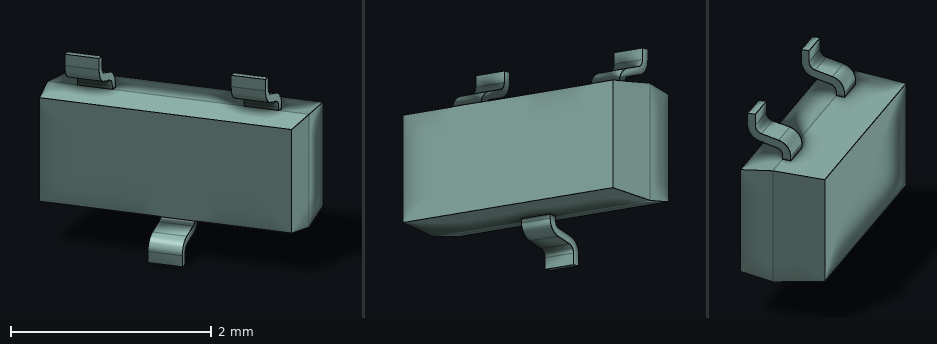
import cadquery as cq
import math


HOUSING_LENGTH = 2.8
HOUSING_WIDTH = 1.2
OVERALL_HEIGHT = 0.9
STANDOFF = 0.012
PARTING_Y = 0.37
TAPER_INSET = 0.05

LEAD_SPAN = 2.1
LEAD_WIDTH = 0.37
LEAD_THICKNESS = 0.085
LEAD_PITCH = 1.78
FOOT_LENGTH = 0.12
INNER_BEND_RADIUS = 0.085
BEND_ANGLE = math.radians(75)
ROOT_OVERRUN = 0.02


def housing_half(end_y):
    """Frustum from the parting plane to the smaller flat face at end_y."""
    return (
        cq.Workplane("XZ", origin=(0, PARTING_Y, 0))
        .rect(HOUSING_LENGTH, HOUSING_WIDTH)
        .workplane(offset=PARTING_Y - end_y)
        .rect(HOUSING_LENGTH - 2 * TAPER_INSET, HOUSING_WIDTH - 2 * TAPER_INSET)
        .loft(ruled=True)
    )


def make_housing():
    return housing_half(STANDOFF).union(housing_half(OVERALL_HEIGHT))


def make_lead(center_x, housing):
    """Lead leaving the +Z side of the housing, its root trimmed to the sloping side."""
    outer_radius = INNER_BEND_RADIUS + LEAD_THICKNESS
    tip_z = LEAD_SPAN / 2
    root_z = HOUSING_WIDTH / 2 - ROOT_OVERRUN

    foot_bend_y = LEAD_THICKNESS + INNER_BEND_RADIUS
    foot_bend_z = tip_z - FOOT_LENGTH
    shoulder_bend_y = PARTING_Y - INNER_BEND_RADIUS

    bend_rise = (INNER_BEND_RADIUS + outer_radius) * (1 - math.cos(BEND_ANGLE))
    web_rise = PARTING_Y - bend_rise
    web_run = web_rise / math.tan(BEND_ANGLE)
    bend_run = (INNER_BEND_RADIUS + outer_radius) * math.sin(BEND_ANGLE)
    shoulder_bend_z = foot_bend_z - bend_run - web_run

    def foot_bend_point(radius, angle):
        return (foot_bend_y - radius * math.cos(angle), foot_bend_z - radius * math.sin(angle))

    def shoulder_bend_point(radius, angle):
        return (shoulder_bend_y + radius * math.cos(angle), shoulder_bend_z + radius * math.sin(angle))

    half_angle = BEND_ANGLE / 2
    profile = (
        cq.Workplane("YZ", origin=(center_x, 0, 0))
        .moveTo(0, tip_z)
        .lineTo(*foot_bend_point(outer_radius, 0))
        .threePointArc(foot_bend_point(outer_radius, half_angle), foot_bend_point(outer_radius, BEND_ANGLE))
        .lineTo(*shoulder_bend_point(INNER_BEND_RADIUS, BEND_ANGLE))
        .threePointArc(
            shoulder_bend_point(INNER_BEND_RADIUS, half_angle),
            shoulder_bend_point(INNER_BEND_RADIUS, 0),
        )
        .lineTo(PARTING_Y, root_z)
        .lineTo(PARTING_Y + LEAD_THICKNESS, root_z)
        .lineTo(*shoulder_bend_point(outer_radius, 0))
        .threePointArc(
            shoulder_bend_point(outer_radius, half_angle),
            shoulder_bend_point(outer_radius, BEND_ANGLE),
        )
        .lineTo(*foot_bend_point(INNER_BEND_RADIUS, BEND_ANGLE))
        .threePointArc(
            foot_bend_point(INNER_BEND_RADIUS, half_angle),
            foot_bend_point(INNER_BEND_RADIUS, 0),
        )
        .lineTo(LEAD_THICKNESS, tip_z)
        .close()
    )
    return profile.extrude(LEAD_WIDTH / 2, both=True).cut(housing)


housing = make_housing()

leads = [make_lead(side * LEAD_PITCH / 2, housing) for side in (-1, 1)]
leads.append(make_lead(0, housing).mirror("XY"))

result = cq.Compound.makeCompound([housing.solids().val(), *[lead.solids().val() for lead in leads]])